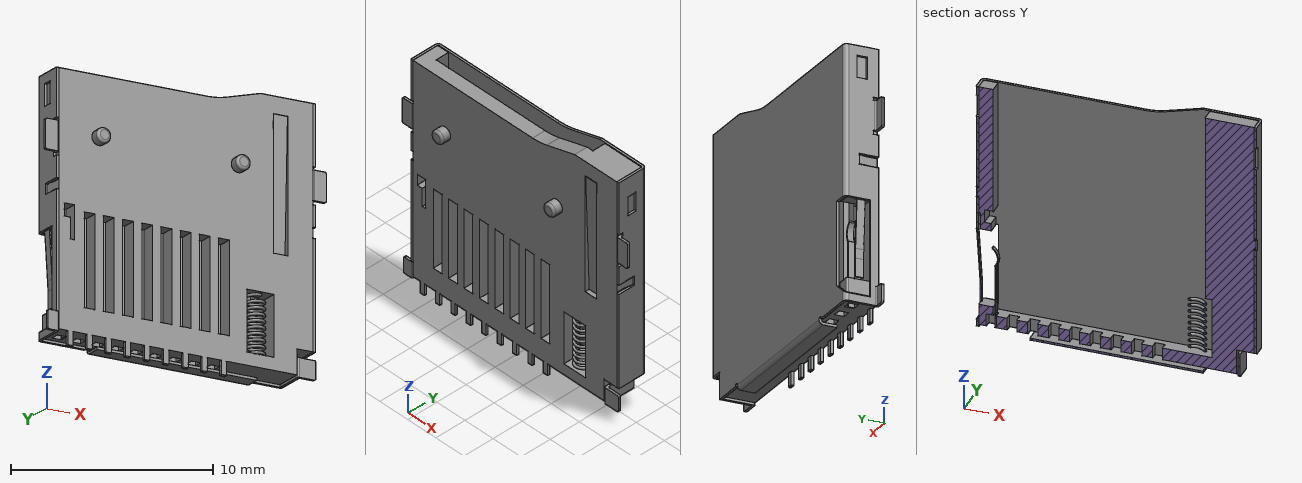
import cadquery as cq
import math


shell_half_width = 7.42
shell_depth = 1.88
shell_bottom = -0.11
sheet = 0.15
back_gap = 0.05
notch_gap = 0.05
shell_corner_radius = 0.23

housing_half_width = shell_half_width - sheet
housing_depth = shell_depth - sheet - back_gap
housing_corner_radius = 0.08

top_low = 13.72
top_high = 14.41
slope_start_x = 1.79
slope_end_x = 4.28
slope_blend_radius = 3.86

pocket_left = -6.5
pocket_right = 4.69
pocket_front = 0.85
pocket_floor = 0.7
side_ledge_top = 1.19

pin_count = 9
pin_span = 8.79
pitch = pin_span / (pin_count - 1)
first_pin_x = -6.62
pin_width = 0.3
pin_thickness = 0.16
pin_length = 0.79
pin_end_chamfer = 0.05
slot_width = 0.61
slot_bottom = 1.37
slot_top = 6.39
channel_size = 0.52

post_xs = (-4.99, 3.0)
post_z = 10.42
post_radius = 0.4
post_height = 0.58
post_round = 0.15

chamber_x = 4.27
chamber_width = 1.55
chamber_top = 4.0
spring_outer_radius = 0.61
spring_wire = 0.16
spring_pitch = 0.34
spring_y = 0.7
spring_start_angle = 180

ramp_left = 5.02
ramp_right = 5.83
ramp_bottom = 6.15
ramp_top = 13.48
ramp_depth_top = 0.03
ramp_depth_bottom = 0.27

switch_slot_left = -6.97
switch_slot_step = -6.62
switch_slot_right = -6.39
switch_slot_bottom = 4.83
switch_slot_shoulder = 5.97
switch_slot_top = 6.67

opening_front = 0.45
opening_top = 5.52
opening_low_z = 0.29
opening_high_z = 0.98

corner_x = 6.36
corner_top = 1.37
corner_wall_top = 1.19

lug_bottom = 7.39
lug_top = 7.87
lug_back = 1.03
lug_height = 0.1

side_window_front = 0.63
side_window_back = 1.19
side_window_bottom = 12.0
side_window_top = 13.19

tab_relief_depth = 0.29
tab_corner_radius = 0.1
tab_bend_radius = 0.08
upper_tab_tip = 8.05
upper_tab_bottom = 9.32
upper_tab_top = 10.93
upper_relief_bottom = 9.1
upper_relief_top = 11.1
lower_left_tip = -7.94
lower_right_tip = shell_half_width
lower_tab_top = 0.92
lower_tab_drop = 0.03

flange_half_width = 4.57
flange_relief = 0.16
flange_bottom = -0.34
flange_front = 0.89

strip_thickness = 0.08
strip_front = 0.74
strip_back = 1.19
lever_face_x = -7.4
lever_foot_x = -7.21
lever_stem_x = -housing_half_width
lever_bottom = 1.35
lever_foot_top = 2.33
lever_knee_x = -7.25
lever_knee_z = 2.85
lever_peak_z = 5.45
lever_stem_top = 6.44
contact_bulge_x = -6.26
contact_bulge_z = 4.19
contact_bulge_bottom = 3.55
contact_tip_x = -6.57
contact_tip_z = 4.59


def box(x0, x1, y0, y1, z0, z1):
    """Box between two opposite corners, given in either order along X."""
    block = cq.Workplane("XY").box(abs(x1 - x0), y1 - y0, z1 - z0, centered=False)
    return block.translate((min(x0, x1), y0, z0))


def front_prism(points, y0, y1):
    """Closed X-Z outline extruded from y0 back to y1."""
    return cq.Workplane("XZ", origin=(0, y0, 0)).polyline(points).close().extrude(y0 - y1)


def top_envelope():
    """Everything below the stepped top edge, with the foot of the slope blended."""
    side = 2 * shell_half_width
    points = [
        (-side, -side), (side, -side), (side, top_high),
        (slope_end_x, top_high), (slope_start_x, top_low), (-side, top_low),
    ]
    envelope = front_prism(points, 0, shell_depth)
    foot = cq.selectors.NearestToPointSelector((slope_start_x, shell_depth / 2, top_low))
    return envelope.edges("|Y").edges(foot).fillet(slope_blend_radius)


def rounded_block(half_width, depth, bottom, top, radius):
    """Upright block with its two back corners rounded."""
    block = box(-half_width, half_width, 0, depth, bottom, top)
    return block.edges("|Z and >Y").fillet(radius)


def switch_opening():
    """Space cut from the left side and the back plate, with a sloping lower edge."""
    points = [
        (-2 * shell_half_width, opening_top), (pocket_left, opening_top), (pocket_left, opening_high_z),
        (-shell_half_width, opening_low_z), (-2 * shell_half_width, opening_low_z),
    ]
    return front_prism(points, opening_front, shell_depth)


def pin_x(index):
    return first_pin_x + index * pitch


def make_housing():
    body = rounded_block(housing_half_width, housing_depth, 0, top_high, housing_corner_radius)
    body = body.intersect(top_envelope())
    body = body.cut(box(pocket_left, pocket_right, pocket_front, housing_depth, pocket_floor, top_high))
    body = body.cut(box(corner_x, housing_half_width, 0, housing_depth, 0, corner_top))
    body = cut_switch_space(body)
    body = cut_contact_slots(body)
    body = body.cut(spring_chamber())
    body = body.cut(ramp_groove())
    body = add_pins(body)
    body = add_posts(body)
    return add_lugs(body).solids()


def cut_switch_space(body):
    contact_wall_x = pin_x(0) + channel_size / 2
    body = body.cut(
        box(-housing_half_width, contact_wall_x, opening_front, housing_depth, side_ledge_top, opening_top)
    )
    slot_outline = [
        (switch_slot_left, switch_slot_top), (switch_slot_right, switch_slot_top),
        (switch_slot_right, switch_slot_bottom), (switch_slot_step, switch_slot_bottom),
        (switch_slot_step, switch_slot_shoulder), (switch_slot_left, switch_slot_shoulder),
    ]
    body = body.cut(front_prism(slot_outline, 0, housing_depth))
    stem_inner_x = lever_stem_x + strip_thickness
    return body.cut(
        box(-housing_half_width, stem_inner_x, strip_front, strip_back, opening_top, lever_stem_top)
    )


def cut_contact_slots(body):
    for index in range(pin_count):
        x = pin_x(index)
        body = body.cut(
            box(x - channel_size / 2, x + channel_size / 2,
                pocket_front, pocket_front + channel_size, 0, pocket_floor)
        )
        if index > 0:
            slot = box(x - slot_width / 2, x + slot_width / 2, 0, pocket_front, slot_bottom, slot_top)
            body = body.cut(slot)
    return body


def spring_chamber():
    return box(chamber_x - chamber_width / 2, chamber_x + chamber_width / 2,
               0, housing_depth, pocket_floor, chamber_top)


def ramp_groove():
    profile = [(0, ramp_bottom), (ramp_depth_bottom, ramp_bottom), (ramp_depth_top, ramp_top), (0, ramp_top)]
    groove = cq.Workplane("YZ", origin=(ramp_left, 0, 0)).polyline(profile).close()
    return groove.extrude(ramp_right - ramp_left)


def add_pins(body):
    for index in range(pin_count):
        x = pin_x(index)
        pin = box(x - pin_width / 2, x + pin_width / 2, 0, pin_thickness, -pin_length, 0)
        body = body.union(pin.faces("<Z").edges().chamfer(pin_end_chamfer))
    return body


def add_posts(body):
    for x in post_xs:
        post = cq.Workplane("XZ", origin=(x, 0, post_z)).circle(post_radius).extrude(post_height)
        body = body.union(post.faces("<Y").edges().fillet(post_round))
    return body


def add_lugs(body):
    for side in (-1, 1):
        side_x = side * housing_half_width
        peak_x = side * (housing_half_width + lug_height)
        wedge = cq.Workplane("XY", origin=(0, 0, lug_bottom))
        wedge = wedge.polyline([(side_x, 0), (peak_x, lug_back), (side_x, lug_back)]).close()
        body = body.union(wedge.extrude(lug_top - lug_bottom))
    return body


def make_shell():
    outer = rounded_block(shell_half_width, shell_depth, shell_bottom, top_high, shell_corner_radius)
    inner = rounded_block(
        shell_half_width - sheet, shell_depth - sheet, shell_bottom, top_high, shell_corner_radius - sheet
    )
    shell = outer.cut(inner).intersect(top_envelope())
    shell = shell.cut(switch_opening())
    shell = cut_side_openings(shell)
    shell = add_lower_right_wall(shell)
    shell = add_flange(shell)
    return add_tabs(shell).solids()


def cut_side_openings(shell):
    for side in (-1, 1):
        inner_x = side * (shell_half_width - sheet)
        outer_x = side * shell_half_width
        shell = shell.cut(
            box(inner_x, outer_x, side_window_front, side_window_back, side_window_bottom, side_window_top)
        )
        shell = shell.cut(
            box(inner_x, outer_x, 0, lug_back + notch_gap, lug_bottom - notch_gap, lug_top + notch_gap)
        )
        shell = shell.cut(box(inner_x, outer_x, 0, tab_relief_depth, upper_relief_bottom, upper_relief_top))
        shell = shell.cut(box(inner_x, outer_x, 0, tab_relief_depth, shell_bottom, lower_tab_top))
    return shell


def lower_right_wall_x():
    """Outer face of the wall beside the cut-away corner."""
    return corner_x + notch_gap + sheet


def add_lower_right_wall(shell):
    outer_x = lower_right_wall_x()
    shell = shell.cut(box(outer_x, shell_half_width, 0, shell_depth, shell_bottom, corner_top))
    wall = box(outer_x - sheet, outer_x, tab_relief_depth, shell_depth, shell_bottom, corner_wall_top)
    return shell.union(wall)


def add_flange(shell):
    for side in (-1, 1):
        shell = shell.cut(
            box(side * flange_half_width, side * (flange_half_width + flange_relief),
                shell_depth - sheet, shell_depth, shell_bottom, 0)
        )
    flange = box(-flange_half_width, flange_half_width, flange_front, shell_depth, flange_bottom, 0)
    flange = flange.edges("|X and >Y and <Z").fillet(shell_corner_radius)
    space = box(-flange_half_width, flange_half_width, flange_front, shell_depth - sheet,
                flange_bottom + sheet, 0)
    return shell.union(flange.cut(space.edges("|X and >Y and <Z").fillet(shell_corner_radius - sheet)))


def bent_tab(wall_x, tip_x, bottom, top, front):
    """Foot bent outward from the front edge of a side wall whose outer face is at wall_x."""
    inner_x = wall_x - math.copysign(sheet, tip_x - wall_x)
    foot = box(inner_x, tip_x, front, front + sheet, bottom, top)
    tip = ">X" if tip_x > wall_x else "<X"
    foot = foot.faces(tip).edges("|Y").fillet(tab_corner_radius)
    tab = foot.union(box(inner_x, wall_x, front, tab_relief_depth, bottom, top))
    for x, y in ((wall_x, front + sheet), (inner_x, front)):
        corner = cq.selectors.NearestToPointSelector((x, y, (bottom + top) / 2))
        tab = tab.edges("|Z").edges(corner).fillet(tab_bend_radius)
    return tab


def add_tabs(shell):
    for side in (-1, 1):
        shell = shell.union(
            bent_tab(side * shell_half_width, side * upper_tab_tip, upper_tab_bottom, upper_tab_top, 0)
        )
    shell = shell.union(
        bent_tab(-shell_half_width, lower_left_tip, shell_bottom, lower_tab_top, -lower_tab_drop)
    )
    return shell.union(
        bent_tab(lower_right_wall_x(), lower_right_tip, shell_bottom, lower_tab_top, -lower_tab_drop)
    )


def make_spring():
    coil_radius = spring_outer_radius - spring_wire / 2
    start_z = pocket_floor + spring_wire / 2
    end_z = chamber_top - spring_wire / 2
    path = cq.Wire.makeHelix(spring_pitch, end_z - start_z, coil_radius)
    wire_section = cq.Workplane("XZ", origin=(coil_radius, 0, 0)).circle(spring_wire / 2)
    coil = wire_section.sweep(cq.Workplane(obj=path), isFrenet=True)
    coil = coil.rotate((0, 0, 0), (0, 0, 1), spring_start_angle)
    return coil.translate((chamber_x, spring_y, start_z))


def make_lever():
    """Thin strip hanging from the housing side, bowed outward into the side opening."""
    outer_face = [
        (lever_foot_x, lever_bottom), (lever_foot_x, lever_foot_top), (lever_knee_x, lever_knee_z),
        (lever_face_x, lever_peak_z), (lever_stem_x, opening_top), (lever_stem_x, lever_stem_top),
    ]
    inner_face = [(x + strip_thickness, z) for x, z in reversed(outer_face)]
    return front_prism(outer_face + inner_face, strip_front, strip_back)


def make_contact():
    """Thin strip on the wall of the first floor channel, bulging into the card pocket."""
    wall_x = pin_x(0) + channel_size / 2
    back_x = wall_x - strip_thickness
    outline = (
        cq.Workplane("XZ", origin=(0, pocket_front, 0))
        .moveTo(back_x, 0)
        .lineTo(wall_x, 0)
        .lineTo(wall_x, contact_bulge_bottom)
        .threePointArc((contact_bulge_x, contact_bulge_z), (contact_tip_x, contact_tip_z))
        .lineTo(contact_tip_x, contact_tip_z - strip_thickness)
        .threePointArc((contact_bulge_x - strip_thickness, contact_bulge_z), (back_x, contact_bulge_bottom))
        .close()
    )
    return outline.extrude(pocket_front - strip_back)


housing = make_housing()
shell = make_shell()
spring = make_spring()
lever = make_lever()
contact = make_contact()

result = cq.Compound.makeCompound([housing.val(), shell.val(), spring.val(), lever.val(), contact.val()])